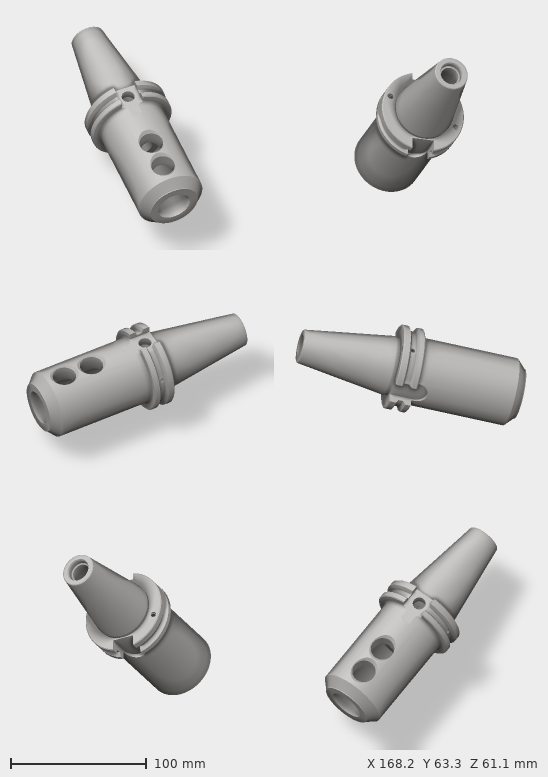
import cadquery as cq
import math

total_length = 168.2
taper_length = 68.0
flange_start = 71.0
flange_end = 87.3

taper_small_diameter = 25.0
taper_large_diameter = 44.5
relief_diameter = 43.5
relief_cone_length = 1.7
shank_edge_chamfer = 0.5

flange_diameter = 63.3
flange_chamfer = 0.7
front_land_width = 5.0
groove_diameter = 56.5
groove_side_run = 1.7
groove_floor_width = 3.7

nose_diameter = 50.8
root_radius = 1.7
nose_chamfer = 7.0
nose_rim_length = 0.5

through_diameter = 13.5
rear_bore_diameter = 16.3
rear_bore_depth = 5.0
rear_sink_diameter = 17.7
rear_sink_depth = 1.2
tool_bore_diameter = 25.4
tool_bore_depth = 58.9

slot_width = 16.7
slot_end = 97.5
top_slot_floor = 25.0
bottom_slot_floor = 22.4

dimple_diameter = 9.6
dimple_x = 79.2
dimple_depth = 6.7
drill_point_angle = 118.0

screw_hole_diameter = 17.3
screw_sink_diameter = 21.9
screw_hole_positions = (124.0, 146.7)

coolant_entry_diameter = 4.0
coolant_entry_depth = 2.2
coolant_diameter = 3.2
coolant_entry_radius = 27.0
coolant_slant = 30.0
coolant_turn = 20.0
coolant_cross_diameter = 3.2
coolant_cross_x = 79.0


def axial_cone(x_start, diameter_start, diameter_end, length):
    """Cone frustum around the X axis."""
    profile = [
        (x_start, 0),
        (x_start, diameter_start / 2),
        (x_start + length, diameter_end / 2),
        (x_start + length, 0),
    ]
    return cq.Workplane("XY").polyline(profile).close().revolve(360, (0, 0), (1, 0))


def axial_cylinder(x_start, diameter, length):
    return cq.Workplane("YZ", origin=(x_start, 0, 0)).circle(diameter / 2).extrude(length)


def make_turned_body():
    relief_radius = relief_diameter / 2
    flange_radius = flange_diameter / 2
    groove_radius = groove_diameter / 2
    nose_radius = nose_diameter / 2
    groove_start = flange_start + front_land_width
    floor_start = groove_start + groove_side_run
    floor_end = floor_start + groove_floor_width
    groove_end = floor_end + groove_side_run
    taper_slope = (taper_large_diameter - taper_small_diameter) / 2 / taper_length
    shank_end_radius = taper_small_diameter / 2
    return (
        cq.Workplane("XY")
        .moveTo(0, 0)
        .lineTo(0, shank_end_radius - shank_edge_chamfer)
        .lineTo(shank_edge_chamfer, shank_end_radius + taper_slope * shank_edge_chamfer)
        .lineTo(taper_length, taper_large_diameter / 2)
        .lineTo(taper_length + relief_cone_length, relief_radius)
        .lineTo(flange_start, relief_radius)
        .lineTo(flange_start, flange_radius - flange_chamfer)
        .lineTo(flange_start + flange_chamfer, flange_radius)
        .lineTo(groove_start, flange_radius)
        .lineTo(floor_start, groove_radius)
        .lineTo(floor_end, groove_radius)
        .lineTo(groove_end, flange_radius)
        .lineTo(flange_end - flange_chamfer, flange_radius)
        .lineTo(flange_end, flange_radius - flange_chamfer)
        .lineTo(flange_end, nose_radius + root_radius)
        .radiusArc((flange_end + root_radius, nose_radius), -root_radius)
        .lineTo(total_length - nose_chamfer, nose_radius)
        .lineTo(total_length - nose_rim_length, nose_radius - nose_chamfer + nose_rim_length)
        .lineTo(total_length, nose_radius - nose_chamfer + nose_rim_length)
        .lineTo(total_length, 0)
        .close()
        .revolve(360, (0, 0), (1, 0))
    )


def make_axial_bores():
    return (
        axial_cylinder(0, through_diameter, total_length)
        .union(axial_cylinder(0, rear_bore_diameter, rear_bore_depth))
        .union(axial_cone(0, rear_sink_diameter, rear_bore_diameter, rear_sink_depth))
        .union(axial_cylinder(total_length - tool_bore_depth, tool_bore_diameter, tool_bore_depth))
    )


def make_drive_slot(floor_height):
    """Slot on the +Z side, open at the rear of the flange and round at its front end."""
    round_centre = slot_end - slot_width / 2
    height = flange_diameter / 2 - floor_height
    straight = (
        cq.Workplane("XY", origin=(flange_start, 0, floor_height))
        .rect(2 * (round_centre - flange_start), slot_width)
        .extrude(height)
    )
    round_end = (
        cq.Workplane("XY", origin=(round_centre, 0, floor_height))
        .circle(slot_width / 2)
        .extrude(height)
    )
    return straight.union(round_end)


def make_dimple():
    """Drilled hole with a conical bottom."""
    radius = dimple_diameter / 2
    point_depth = radius / math.tan(math.radians(drill_point_angle / 2))
    profile = [
        (0, top_slot_floor),
        (radius, top_slot_floor),
        (radius, top_slot_floor - dimple_depth),
        (0, top_slot_floor - dimple_depth - point_depth),
    ]
    dimple = cq.Workplane("XZ").polyline(profile).close().revolve(360, (0, 0), (0, 1))
    return dimple.translate((dimple_x, 0, 0))


def make_screw_hole(x):
    """Radial hole from the +Z side into the tool bore, with a 45 degree countersink."""
    sink_radius = screw_sink_diameter / 2
    hole_radius = screw_hole_diameter / 2
    top = nose_diameter / 2
    profile = [
        (0, 0),
        (hole_radius, 0),
        (hole_radius, top - (sink_radius - hole_radius)),
        (sink_radius, top),
        (0, top),
    ]
    hole = cq.Workplane("XZ").polyline(profile).close().revolve(360, (0, 0), (0, 1))
    return hole.translate((x, 0, 0))


def make_coolant_passage(turn):
    """Slanted stepped hole from the flange's rear face meeting a radial hole from the groove."""
    slant = math.radians(coolant_slant)
    direction = cq.Vector(math.cos(slant), -math.sin(slant), 0)
    entry = cq.Vector(flange_start, coolant_entry_radius, 0)
    length = (coolant_cross_x - flange_start) / math.cos(slant)
    lead_in = coolant_entry_diameter / 2
    mouth = cq.Solid.makeCylinder(
        coolant_entry_diameter / 2,
        coolant_entry_depth + lead_in,
        entry - direction * lead_in,
        direction,
    )
    slanted = cq.Solid.makeCylinder(coolant_diameter / 2, length, entry, direction)
    meeting_radius = coolant_entry_radius - length * math.sin(slant)
    radial = cq.Solid.makeCylinder(
        coolant_cross_diameter / 2,
        groove_diameter / 2 - meeting_radius,
        cq.Vector(coolant_cross_x, meeting_radius, 0),
        cq.Vector(0, 1, 0),
    )
    passage = cq.Workplane(mouth).union(cq.Workplane(slanted)).union(cq.Workplane(radial))
    return passage.rotate((0, 0, 0), (1, 0, 0), turn)


result = make_turned_body().cut(make_axial_bores())
result = result.cut(make_drive_slot(top_slot_floor))
result = result.cut(make_drive_slot(bottom_slot_floor).rotate((0, 0, 0), (1, 0, 0), 180))
result = result.cut(make_dimple())
for hole_x in screw_hole_positions:
    result = result.cut(make_screw_hole(hole_x))
for side_turn in (0, 180):
    result = result.cut(make_coolant_passage(coolant_turn + side_turn))